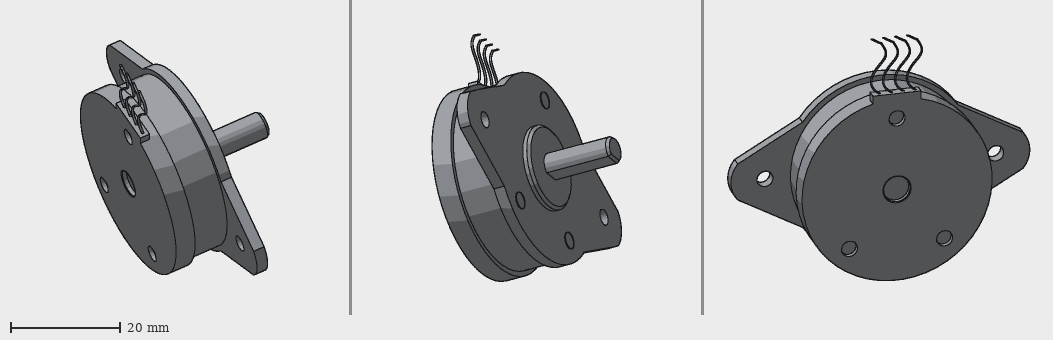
import cadquery as cq
import math

cover_radius = 18.1
cover_depth = 4.0
drum_radius = 17.1
drum_depth = 7.2
flange_radius = 18.15
flange_thickness = 2.2
boss_radius = 8.0
boss_height = 1.35
boss_chamfer = 0.54
shaft_radius = 2.55
shaft_flat_z = -2.0
shaft_chamfer_length = 0.55
shaft_chamfer_width = 0.4
overall_depth = 28.3

drum_front = cover_depth
flange_front = drum_front + drum_depth
flange_back = flange_front + flange_thickness
boss_back = flange_back + boss_height

ear_tip_x = 28.4
ear_corner_x = 27.1
ear_corner_z = 3.6
ear_root_z = 10.45
ear_root_x = math.sqrt(flange_radius**2 - ear_root_z**2)
ear_hole_x = 21.95
ear_hole_diameter = 3.0

bore_diameter = 5.0
bore_depth = 1.0
bore_chamfer = 0.15
rivet_hole_diameter = 3.0
rivet_hole_depth = 1.0
rivet_head_diameter = 3.2
rivet_head_height = 0.15
rivet_top_z = 14.1
rivet_low_x = 9.05
rivet_low_z = -10.8
rivet_places = [(0, rivet_top_z), (-rivet_low_x, rivet_low_z), (rivet_low_x, rivet_low_z)]

connector_width = 9.15
connector_depth = 1.95
connector_top = 19.05

wire_count = 4
wire_pitch = 2.3
wire_first_x = -3.1
wire_diameter = 0.45
wire_y = connector_depth / 2
wire_height = 10.9
wire_offsets = [(0, 0), (-1.55, 2.4), (-0.15, 5.35), (1.25, 8.05), (0.45, 9.8), (-1.35, wire_height)]
wire_end_direction = (-1.0, 0.65)


def disc(radius, y, depth, x=0, z=0):
    """Cylinder along +Y starting at depth y."""
    return cq.Workplane("XY").add(
        cq.Solid.makeCylinder(radius, depth, cq.Vector(x, y, z), cq.Vector(0, 1, 0))
    )


def make_flange():
    """Round plate with two tapered ears, each with a mounting hole."""
    outline = (
        cq.Workplane("XZ", origin=(0, flange_back, 0))
        .moveTo(ear_root_x, ear_root_z)
        .lineTo(ear_corner_x, ear_corner_z)
        .threePointArc((ear_tip_x, 0), (ear_corner_x, -ear_corner_z))
        .lineTo(ear_root_x, -ear_root_z)
        .threePointArc((0, -flange_radius), (-ear_root_x, -ear_root_z))
        .lineTo(-ear_corner_x, -ear_corner_z)
        .threePointArc((-ear_tip_x, 0), (-ear_corner_x, ear_corner_z))
        .lineTo(-ear_root_x, ear_root_z)
        .threePointArc((0, flange_radius), (ear_root_x, ear_root_z))
        .close()
    )
    flange = outline.extrude(flange_thickness)
    for x in (-ear_hole_x, ear_hole_x):
        flange = flange.cut(disc(ear_hole_diameter / 2, flange_front, flange_thickness, x))
    return flange


def make_connector():
    """Block rising above the rim, flush with the cover's front face."""
    return cq.Workplane("XY").box(
        connector_width, connector_depth, connector_top, centered=(True, False, False)
    )


def make_turned_core():
    """Cover, drum and boss, turned about the Y axis."""
    chamfer_start = boss_back - boss_chamfer
    chamfer_end_radius = boss_radius - boss_chamfer
    profile = [
        (0, 0),
        (0, cover_radius),
        (cover_depth, cover_radius),
        (cover_depth, drum_radius),
        (flange_back, drum_radius),
        (flange_back, boss_radius),
        (chamfer_start, boss_radius),
        (boss_back, chamfer_end_radius),
        (boss_back, 0),
    ]
    return cq.Workplane("YZ").polyline(profile).close().revolve(360, (0, 0), (1, 0))


def make_shaft():
    """Shaft with a full-length flat underneath and a chamfered tip."""
    length = overall_depth - boss_back
    below_flat = cq.Workplane("XY", origin=(0, boss_back, shaft_flat_z)).rect(
        2 * shaft_radius, 2 * length
    ).extrude(-shaft_radius)
    shaft = disc(shaft_radius, boss_back, length).cut(below_flat)
    return shaft.faces(">Y").chamfer(shaft_chamfer_length, shaft_chamfer_width)


def make_bore():
    """Blind center bore of the cover, with its entry chamfer."""
    radius = bore_diameter / 2
    entry_radius = radius + bore_chamfer
    profile = [(0, 0), (0, entry_radius), (bore_chamfer, radius), (bore_depth, radius), (bore_depth, 0)]
    return cq.Workplane("YZ").polyline(profile).close().revolve(360, (0, 0), (1, 0))


def make_motor():
    """Cover, drum, flange, boss, shaft and connector as one solid."""
    motor = (
        make_turned_core()
        .union(make_connector())
        .union(make_flange())
        .union(make_shaft())
        .cut(make_bore())
    )
    for x, z in rivet_places:
        motor = motor.union(disc(rivet_head_diameter / 2, flange_back, rivet_head_height, x, z))
        motor = motor.cut(disc(rivet_hole_diameter / 2, 0, rivet_hole_depth, x, z))
    return motor


def make_wire(x):
    """S-shaped lead rising from the connector's top face, cut level at both ends."""
    end_x, end_z = wire_end_direction
    direction = cq.Vector(end_x, 0, end_z)
    points = [cq.Vector(x + dx, wire_y, connector_top + dz) for dx, dz in wire_offsets]
    path = cq.Edge.makeSpline(points, tangents=[direction, direction])
    profile = cq.Workplane("XY", origin=(x, wire_y, connector_top)).circle(wire_diameter / 2)
    return profile.sweep(cq.Workplane("XY").add(path))


motor = make_motor()
wires = [make_wire(wire_first_x + i * wire_pitch) for i in range(wire_count)]

result = cq.Compound.makeCompound([motor.val(), *[wire.val() for wire in wires]])